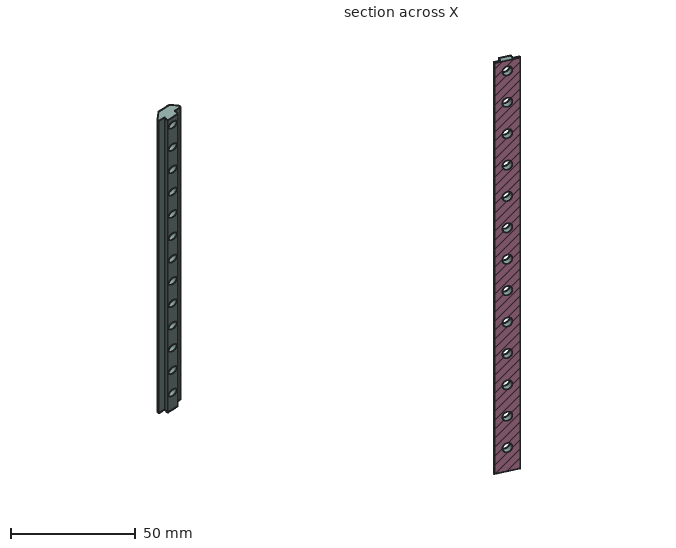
import cadquery as cq

length = 196.5
width = 11.2
depth = 5.7

head_depth = 3.7
face_width = 5.7
chamfer_depth = (width - face_width) / 2
stem_width = 5.3

hole_diameter = 4.1
hole_count = 13
top_margin = 5.1
bottom_margin = 11.4
hole_pitch = (length - top_margin - bottom_margin) / (hole_count - 1)


def rail_body():
    """Extrude the T-shaped section along Z, centred on the origin."""
    front = -depth / 2
    back = depth / 2
    chamfer_end = front + chamfer_depth
    head_back = front + head_depth
    half_section = [
        (front, 0),
        (front, face_width / 2),
        (chamfer_end, width / 2),
        (head_back, width / 2),
        (head_back, stem_width / 2),
        (back, stem_width / 2),
        (back, 0),
    ]
    half = cq.Workplane("XY").polyline(half_section).close().extrude(length / 2, both=True)
    return half.union(half.mirror("XZ")).clean()


def hole_cutters():
    """Cylinders spaced downward from the top end of the rail."""
    first_z = length / 2 - top_margin
    centres = [(0, first_z - i * hole_pitch) for i in range(hole_count)]
    return (
        cq.Workplane("YZ")
        .pushPoints(centres)
        .circle(hole_diameter / 2)
        .extrude(depth, both=True)
    )


result = rail_body().cut(hole_cutters())